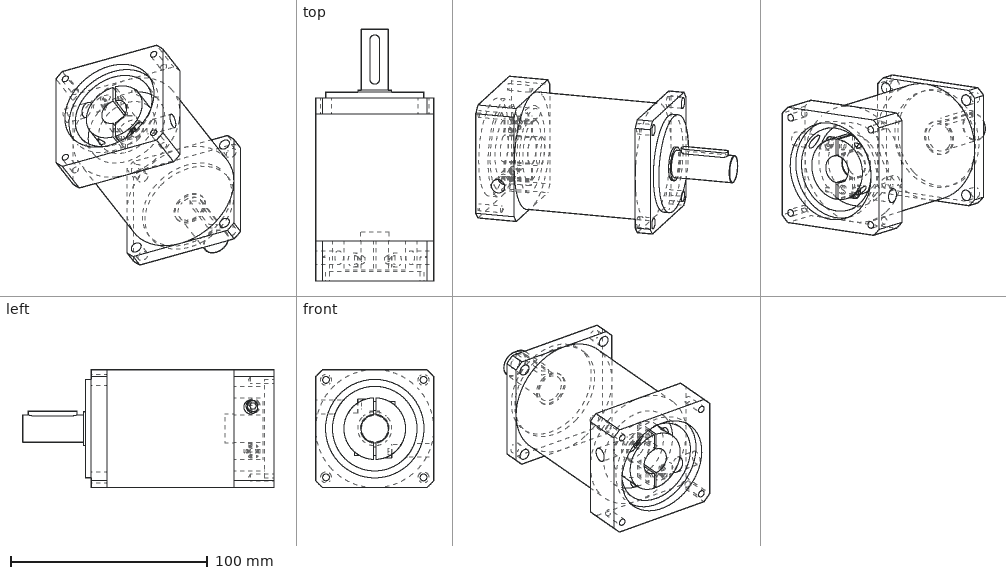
import cadquery as cq
import math

TOTAL_LENGTH = 128.0

FLANGE_SIDE = 60.0
FLANGE_CORNER_DIAMETER = 80.0
INPUT_FLANGE_LENGTH = 20.5
OUTPUT_FLANGE_LENGTH = 8.0

PILOT_DIAMETER = 50.0
PILOT_LENGTH = 3.0
SHOULDER_DIAMETER = 17.3
SHOULDER_LENGTH = 1.0
SHAFT_DIAMETER = 14.0
SHAFT_CHAMFER = 0.3
SHAFT_LENGTH = 31.0

SHOULDER_FACE = TOTAL_LENGTH - SHAFT_LENGTH
PILOT_FACE = SHOULDER_FACE - SHOULDER_LENGTH
OUTPUT_FACE = PILOT_FACE - PILOT_LENGTH
OUTPUT_FLANGE_START = OUTPUT_FACE - OUTPUT_FLANGE_LENGTH
CASING_LENGTH = OUTPUT_FLANGE_START - INPUT_FLANGE_LENGTH

KEY_WIDTH = 5.0
KEY_LENGTH = 25.0
KEY_TIP_GAP = 3.0
KEY_TOP = 9.0
KEY_HEIGHT = 5.0

HOLE_SPACING = 49.5
OUTPUT_HOLE_DIAMETER = 5.5
INPUT_HOLE_DIAMETER = 3.5
INPUT_HOLE_DEPTH = 12.0
DRILL_TIP_ANGLE = 118.0

REGISTER_DIAMETER = 50.0
REGISTER_DEPTH = 5.0
POCKET_DIAMETER = 43.0
POCKET_DEPTH = INPUT_FLANGE_LENGTH
BORE_RELIEF_DIAMETER = 14.7
BORE_RELIEF_DEPTH = 4.5

COLLAR_DIAMETER = 31.4
COLLAR_BORE_DIAMETER = 14.0
COLLAR_RECESS = 5.8
COLLAR_LENGTH = POCKET_DEPTH - COLLAR_RECESS
SLIT_WIDTH = 1.2

SCREW_OFFSET = 11.5
SCREW_DEPTH = 10.8
SCREW_DIAMETER = 4.5
SCREW_TIP_X = 10.4
HEAD_DIAMETER = 7.0
HEAD_FACE_X = -8.8
HEAD_LENGTH = 4.0
HEAD_CHAMFER_LENGTH = 0.4
HEAD_CHAMFER_WIDTH = 0.6
SOCKET_SIDES = 6
SOCKET_ACROSS_CORNERS = 3.5
SOCKET_DEPTH = 2.0

ACCESS_HOLE_DIAMETER = 7.0
ACCESS_HOLE_DEPTH = 11.9
ACCESS_HOLE_LENGTH = 15.4
ACCESS_HOLE_HEIGHT = 11.0

SCREW_ANGLES = (0, 180)


def cylinder_y(diameter, start, length):
    """Cylinder along +Y, centred on the gearbox axis."""
    direction = cq.Vector(0, 1, 0)
    base = cq.Vector(0, start, 0)
    return cq.Workplane(cq.Solid.makeCylinder(diameter / 2, length, base, direction))


def cylinder_x(diameter, start, length, y, z):
    """Cylinder along +X from the given start."""
    direction = cq.Vector(1, 0, 0)
    base = cq.Vector(start, y, z)
    return cq.Workplane(cq.Solid.makeCylinder(diameter / 2, length, base, direction))


def turn(body, angle):
    """Rotate a body about the gearbox axis."""
    return body.rotate((0, 0, 0), (0, 1, 0), angle)


def flange(start, length):
    """Square plate whose four corners are turned to a common diameter."""
    plate = cq.Workplane("XY").box(FLANGE_SIDE, length, FLANGE_SIDE).translate((0, start + length / 2, 0))
    return plate.intersect(cylinder_y(FLANGE_CORNER_DIAMETER, start, length))


def hole_positions():
    """Corner positions (x, z) of the mounting holes in either flange."""
    half = HOLE_SPACING / 2
    return [(x, z) for x in (-half, half) for z in (-half, half)]


def output_hole(x, z):
    """Through hole in the output flange."""
    hole = cylinder_y(OUTPUT_HOLE_DIAMETER, OUTPUT_FLANGE_START, OUTPUT_FLANGE_LENGTH)
    return hole.translate((x, 0, z))


def input_hole(x, z):
    """Blind drilled hole with a conical end, in the input flange."""
    radius = INPUT_HOLE_DIAMETER / 2
    tip_length = radius / math.tan(math.radians(DRILL_TIP_ANGLE / 2))
    profile = (
        cq.Workplane("XY")
        .polyline([(0, 0), (radius, 0), (radius, INPUT_HOLE_DEPTH), (0, INPUT_HOLE_DEPTH + tip_length)])
        .close()
    )
    return profile.revolve(360, (0, 0, 0), (0, 1, 0)).translate((x, 0, z))


def shaft_key():
    """Round-ended key standing on top of the shaft."""
    key_centre = TOTAL_LENGTH - KEY_TIP_GAP - KEY_LENGTH / 2
    return (
        cq.Workplane("XY")
        .workplane(offset=KEY_TOP - KEY_HEIGHT)
        .center(0, key_centre)
        .slot2D(KEY_LENGTH, KEY_WIDTH, 90)
        .extrude(KEY_HEIGHT)
    )


def output_shaft():
    """Shaft with a chamfered tip and its key."""
    shaft = cylinder_y(SHAFT_DIAMETER, SHOULDER_FACE, SHAFT_LENGTH)
    return shaft.faces(">Y").chamfer(SHAFT_CHAMFER).union(shaft_key())


def access_hole():
    """Hole through the -X wall that gives a tool access to a clamp screw."""
    return cylinder_x(
        ACCESS_HOLE_DIAMETER, -FLANGE_SIDE / 2, ACCESS_HOLE_LENGTH, ACCESS_HOLE_DEPTH, ACCESS_HOLE_HEIGHT
    )


def make_housing():
    """Gearbox housing with both flanges, the output shaft and the stepped input pocket."""
    housing = (
        flange(0, INPUT_FLANGE_LENGTH)
        .union(cylinder_y(FLANGE_SIDE, INPUT_FLANGE_LENGTH, CASING_LENGTH))
        .union(flange(OUTPUT_FLANGE_START, OUTPUT_FLANGE_LENGTH))
        .union(cylinder_y(PILOT_DIAMETER, OUTPUT_FACE, PILOT_LENGTH))
        .union(cylinder_y(SHOULDER_DIAMETER, PILOT_FACE, SHOULDER_LENGTH))
        .union(output_shaft())
    )
    housing = (
        housing.cut(cylinder_y(REGISTER_DIAMETER, 0, REGISTER_DEPTH))
        .cut(cylinder_y(POCKET_DIAMETER, 0, POCKET_DEPTH))
        .cut(cylinder_y(BORE_RELIEF_DIAMETER, POCKET_DEPTH, BORE_RELIEF_DEPTH))
    )
    for x, z in hole_positions():
        housing = housing.cut(output_hole(x, z)).cut(input_hole(x, z))
    for angle in SCREW_ANGLES:
        housing = housing.cut(turn(access_hole(), angle))
    return housing


def clamp_screw():
    """Socket-head screw along X, with its head on the -X side."""
    shank_length = SCREW_TIP_X - HEAD_FACE_X
    shank = cylinder_x(SCREW_DIAMETER, HEAD_FACE_X, shank_length, SCREW_DEPTH, SCREW_OFFSET)
    head = cylinder_x(HEAD_DIAMETER, HEAD_FACE_X, HEAD_LENGTH, SCREW_DEPTH, SCREW_OFFSET)
    head = head.faces("<X").chamfer(HEAD_CHAMFER_LENGTH, HEAD_CHAMFER_WIDTH)
    socket = (
        cq.Workplane("YZ", origin=(HEAD_FACE_X, SCREW_DEPTH, SCREW_OFFSET))
        .polygon(SOCKET_SIDES, SOCKET_ACROSS_CORNERS)
        .extrude(SOCKET_DEPTH)
    )
    return head.union(shank).cut(socket)


def head_seat():
    """Counterbore from the rim of the collar down to the underside of a screw head."""
    seat_start = -COLLAR_DIAMETER / 2
    seat_length = HEAD_FACE_X + HEAD_LENGTH - seat_start
    return cylinder_x(HEAD_DIAMETER, seat_start, seat_length, SCREW_DEPTH, SCREW_OFFSET)


def make_clamp_collar():
    """Slit collar whose two halves are joined by the clamp screws."""
    ring = cylinder_y(COLLAR_DIAMETER, COLLAR_RECESS, COLLAR_LENGTH)
    ring = ring.cut(cylinder_y(COLLAR_BORE_DIAMETER, COLLAR_RECESS, COLLAR_LENGTH))
    slit = cq.Workplane("XY").box(SLIT_WIDTH, COLLAR_LENGTH, COLLAR_DIAMETER)
    slit = slit.translate((0, COLLAR_RECESS + COLLAR_LENGTH / 2, 0))
    collar = ring.cut(slit)
    for angle in SCREW_ANGLES:
        collar = collar.cut(turn(head_seat(), angle)).union(turn(clamp_screw(), angle))
    return collar


housing = make_housing()
clamp_collar = make_clamp_collar()
result = cq.Compound.makeCompound([housing.val(), clamp_collar.val()])